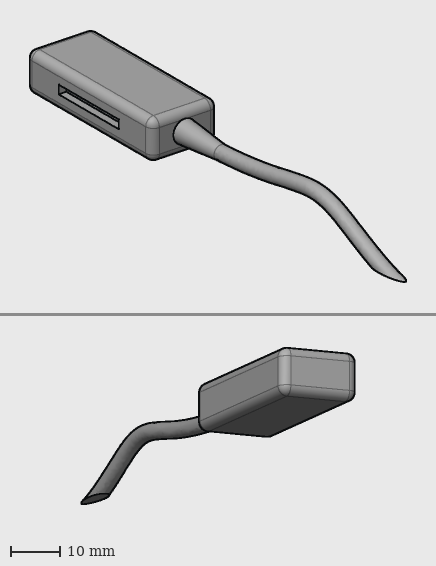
import cadquery as cq

housing_length = 42.0
housing_width = 17.0
housing_height = 10.0
edge_radius = 2.0
mid_height = housing_height / 2

slot_length = 20.0
slot_height = 2.2
slot_depth = 2.0

relief_length = 12.0
relief_radius = 2.9
cable_diameter = 3.6
cable_radius = cable_diameter / 2
cable_height = 5.1
relief_end = housing_length + relief_length

cable_points = [
    (relief_end, cable_height),
    (71.0, 6.8),
    (80.0, 8.3),
    (85.8, 8.8),
    (90.4, 8.1),
    (96.2, 5.8),
    (106.6, 0.9),
    (115.9, -1.9),
    (120.5, -2.5),
]
start_direction = (1, 0.05)
end_direction = (1, -0.2)


def make_housing():
    body = (
        cq.Workplane("XY")
        .box(housing_length, housing_width, housing_height, centered=(False, True, False))
        .edges()
        .fillet(edge_radius)
    )
    slot = cq.Workplane("XY").box(slot_length, 2 * slot_depth, slot_height)
    return body.cut(slot.translate((housing_length / 2, -housing_width / 2, mid_height)))


def make_relief():
    return (
        cq.Workplane("YZ", origin=(housing_length, 0, cable_height))
        .circle(relief_radius)
        .workplane(offset=relief_length)
        .circle(cable_radius)
        .loft(ruled=True)
    )


def make_cable():
    path = cq.Workplane("XZ").spline(cable_points, tangents=[start_direction, end_direction])
    cable = cq.Workplane("YZ", origin=(relief_end, 0, cable_height)).circle(cable_radius).sweep(path)
    trim_size = 2 * housing_length
    below_base = cq.Workplane("XY").box(trim_size, trim_size, trim_size)
    return cable.cut(below_base.translate((cable_points[-1][0], 0, -trim_size / 2)))


result = make_housing().union(make_relief()).union(make_cable())